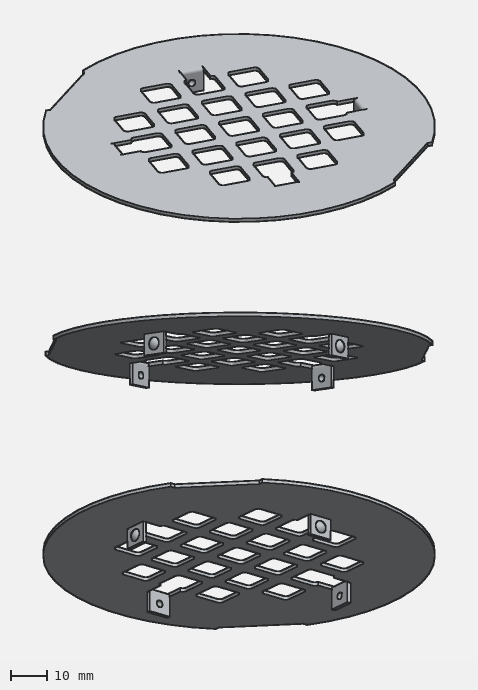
import cadquery as cq
import math

plate_diameter = 108.33
sheet_thickness = 1.09
plate_radius = plate_diameter / 2

notch_side_offset = 28.2
notch_flat_distance = 51.7

hole_pitch = 13.0
hole_side = 9.15
hole_corner_radius = 1.25
grid_reach = 2

total_height = 7.09
tab_width = 7.0
tab_outer_face = 36.5
tab_inner_face = tab_outer_face - sheet_thickness
dimple_depth = (sheet_thickness + total_height) / 2
dimple_inner_radius = 1.0
dimple_outer_radius = dimple_inner_radius + sheet_thickness
tab_angles = (0, 90, 180, 270)


def turn(body, angle):
    """Rotate a body about the plate axis."""
    return body.rotate((0, 0, 0), (0, 0, 1), angle)


def make_plate():
    return cq.Workplane("XY").circle(plate_radius).extrude(-sheet_thickness)


def make_notch():
    """Cutter for the notch on the +X+Y side."""
    flat_end = notch_flat_distance * math.sqrt(2) - notch_side_offset
    outline = [
        (notch_side_offset, flat_end),
        (notch_side_offset, plate_radius),
        (plate_radius, plate_radius),
        (plate_radius, notch_side_offset),
        (flat_end, notch_side_offset),
    ]
    return cq.Workplane("XY").polyline(outline).close().extrude(-sheet_thickness)


def make_drain_holes():
    """Cutter for the grid of holes, without its four corners."""
    steps = range(-grid_reach, grid_reach + 1)
    centers = [
        (column * hole_pitch, row * hole_pitch)
        for column in steps
        for row in steps
        if abs(column) + abs(row) < 2 * grid_reach
    ]
    return (
        cq.Workplane("XY")
        .pushPoints(centers)
        .rect(hole_side, hole_side)
        .extrude(-sheet_thickness)
        .edges("|Z")
        .fillet(hole_corner_radius)
    )


def make_tab_slot():
    """Cutter for the opening a tab is bent out of, from the end hole to the tab."""
    slot_start = grid_reach * hole_pitch
    slot_length = tab_outer_face - slot_start
    return (
        cq.Workplane("XY")
        .center(slot_start + slot_length / 2, 0)
        .rect(slot_length, tab_width)
        .extrude(-sheet_thickness)
    )


def make_tab():
    """Tab on the +X side, with a sharp inner bend and a rounded outer bend."""
    arc_leg = sheet_thickness * math.sqrt(0.5)
    return (
        cq.Workplane("XZ")
        .moveTo(tab_outer_face, 0)
        .threePointArc(
            (tab_outer_face - arc_leg, arc_leg - sheet_thickness),
            (tab_inner_face, -sheet_thickness),
        )
        .lineTo(tab_inner_face, -total_height)
        .lineTo(tab_outer_face, -total_height)
        .close()
        .extrude(tab_width / 2, both=True)
    )


def make_half_ball(radius):
    """Half ball bulging outward from the inner face of the +X tab."""
    arc_leg = radius * math.sqrt(0.5)
    return (
        cq.Workplane("XZ", origin=(tab_inner_face, 0, -dimple_depth))
        .lineTo(radius, 0)
        .threePointArc((arc_leg, arc_leg), (0, radius))
        .close()
        .revolve(360, (0, 0, 0), (1, 0, 0))
    )


def make_dimpled_tab():
    """Tab with a pressed dimple: hollow on the inner face, domed on the outer face."""
    dome = make_half_ball(dimple_outer_radius)
    hollow = make_half_ball(dimple_inner_radius)
    return make_tab().union(dome).cut(hollow)


result = make_plate().cut(make_drain_holes())

notch = make_notch()
for notch_angle in (0, 180):
    result = result.cut(turn(notch, notch_angle))

tab_slot = make_tab_slot()
tab = make_dimpled_tab()
for tab_angle in tab_angles:
    result = result.cut(turn(tab_slot, tab_angle))
    result = result.union(turn(tab, tab_angle))